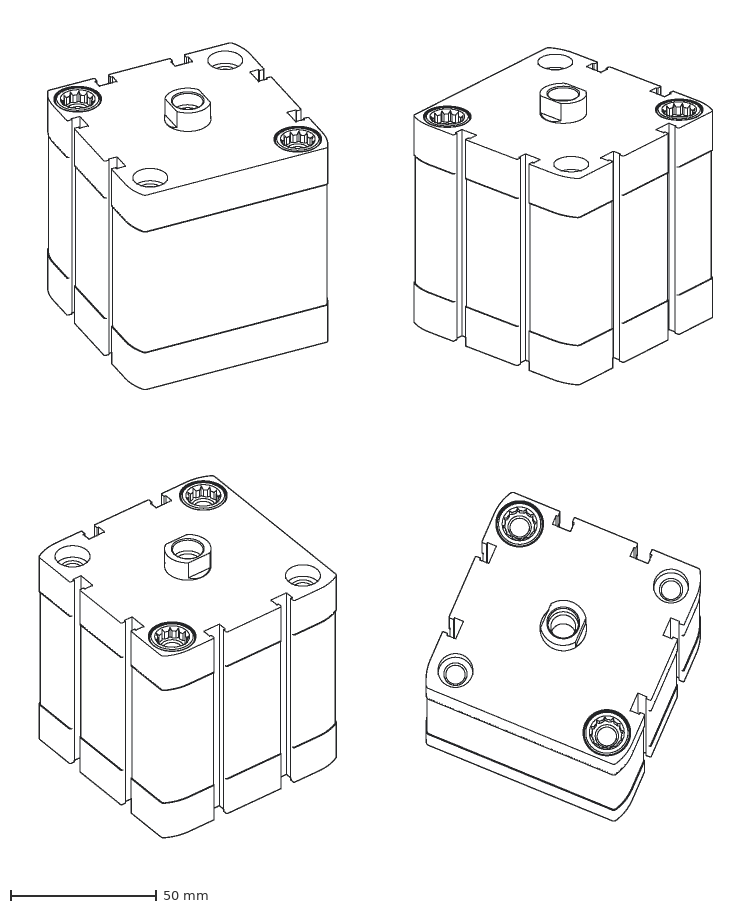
import cadquery as cq
import math


cap_width = 75.5
body_inset = 0.35
housing_height = 79.0
cap_height = 15.0
corner_radius = 18.0
arc_start = 28.25
edge_fillet = 1.3

slot_offset = 14.5
slot_opening = 5.3
slot_width = 6.7
slot_lip = 1.85
slot_depth = 5.2
slot_lip_radius = 0.4

hole_offset = 28.25
through_diameter = 6.65
countersink_diameter = 8.0
counterbore_diameter = 12.0
counterbore_depth = 5.0

head_diameter = 15.5
head_chamfer = 0.5
head_seat_diameter = 16.0
head_seat_chamfer = 0.2
head_gap_depth = 1.0
socket_points = 12
socket_outer_radius = 5.75
socket_inner_radius = 5.1
socket_land_angle = 16.0
socket_depth = 4.5
socket_rim_diameter = 12.0
socket_rim_angle = 60.0

rod_diameter = 16.0
rod_projection = 7.5
rod_insertion = 30.0
flat_size = 13.0
flat_end_height = 1.0
flat_runout_angle = 30.0
rod_bore_diameter = 10.5
rod_bore_depth = 5.0
rod_mouth_diameter = 11.3
rod_thread_diameter = 8.57
rod_thread_depth = 18.0
drill_tip_angle = 118.0


def cylinder(diameter, depth, top):
    """Upright cylinder on the Z axis, from the height `top` downwards."""
    return cq.Workplane("XY").workplane(offset=top - depth).circle(diameter / 2).extrude(depth)


def cone(top_diameter, bottom_diameter, top, depth):
    """Upright cone frustum on the Z axis, from the height `top` downwards."""
    profile = [(0, top), (top_diameter / 2, top), (bottom_diameter / 2, top - depth), (0, top - depth)]
    if bottom_diameter == 0:
        profile.pop()
    return cq.Workplane("XZ").polyline(profile).close().revolve(360, (0, 0, 0), (0, 1, 0))


def countersink(top_diameter, bottom_diameter, top, included_angle=90.0):
    """Conical step between two diameters."""
    depth = (top_diameter - bottom_diameter) / 2 / math.tan(math.radians(included_angle / 2))
    return cone(top_diameter, bottom_diameter, top, depth)


def housing_block(inset, bottom, height):
    """Prism whose -Y and +Y faces run into the flat -X and +X sides through large arcs."""
    half = cap_width / 2 - inset
    center_y = half - corner_radius

    def arc_point(x):
        return x, center_y + math.sqrt(corner_radius ** 2 - (x - arc_start) ** 2)

    corner_x, corner_y = arc_point(half)
    middle_x, middle_y = arc_point((arc_start + half) / 2)
    block = (
        cq.Workplane("XY").workplane(offset=bottom)
        .moveTo(-arc_start, half)
        .lineTo(arc_start, half)
        .threePointArc((middle_x, middle_y), (corner_x, corner_y))
        .lineTo(corner_x, -corner_y)
        .threePointArc((middle_x, -middle_y), (arc_start, -half))
        .lineTo(-arc_start, -half)
        .threePointArc((-middle_x, -middle_y), (-corner_x, -corner_y))
        .lineTo(-corner_x, corner_y)
        .threePointArc((-middle_x, middle_y), (-arc_start, half))
        .close()
        .extrude(height)
    )
    return block.edges("|Z and (>X or <X)").fillet(edge_fillet)


def sensor_slot(inset):
    """T-slot outline, open towards -Y, in a face set back by `inset`, with rounded lips."""
    cap_face = -cap_width / 2
    face = cap_face + inset
    half_opening = slot_opening / 2
    half_mouth = half_opening + slot_lip_radius
    half_width = slot_width / 2
    lip_end = cap_face + slot_lip
    floor = cap_face + slot_depth
    arc_reach = slot_lip_radius * (1 - math.sqrt(0.5))
    arc_x = half_opening + arc_reach
    arc_y = face + arc_reach
    return (
        cq.Workplane("XY")
        .moveTo(half_mouth, face)
        .threePointArc((arc_x, arc_y), (half_opening, face + slot_lip_radius))
        .lineTo(half_opening, lip_end)
        .lineTo(half_width, lip_end)
        .lineTo(half_width, floor)
        .lineTo(-half_width, floor)
        .lineTo(-half_width, lip_end)
        .lineTo(-half_opening, lip_end)
        .lineTo(-half_opening, face + slot_lip_radius)
        .threePointArc((-arc_x, arc_y), (-half_mouth, face))
        .close()
    )


def slotted_block(inset, bottom, height):
    """Housing section with two slots in each of the -Y, -X and +Y faces; +X stays plain."""
    block = housing_block(inset, bottom, height)
    slot = sensor_slot(inset).extrude(height).translate((0, 0, bottom))
    for face_angle in (0, -90, 180):
        for side in (-1, 1):
            placed = slot.translate((side * slot_offset, 0, 0))
            block = block.cut(placed.rotate((0, 0, 0), (0, 0, 1), face_angle))
    return block


def polar(radius, degrees):
    """X and Y of a point at an angle on a circle round the Z axis."""
    angle = math.radians(degrees)
    return radius * math.cos(angle), radius * math.sin(angle)


def through_hole(seat):
    """Hole through the housing with a countersunk mouth at the height `seat`."""
    hole = cylinder(through_diameter, seat, seat)
    return hole.union(countersink(countersink_diameter, through_diameter, seat))


def plain_corner_cut():
    """Counterbored corner hole."""
    seat = housing_height - counterbore_depth
    return cylinder(counterbore_diameter, counterbore_depth, housing_height).union(through_hole(seat))


def screw_corner_cut():
    """Ring gap around a screw head, with its twelve-point socket and the hole below."""
    gap = cylinder(head_seat_diameter, head_gap_depth, housing_height)
    seat_mouth = head_seat_diameter + 2 * head_seat_chamfer
    gap = gap.union(countersink(seat_mouth, head_seat_diameter, housing_height))
    head = cylinder(head_diameter, head_gap_depth, housing_height).faces(">Z").chamfer(head_chamfer)
    gap = gap.cut(head)

    seat = housing_height - socket_depth
    point_angle = 360 / socket_points
    land_start = (point_angle - socket_land_angle) / 2
    points = []
    for index in range(socket_points):
        tip = index * point_angle
        points.append(polar(socket_outer_radius, tip))
        points.append(polar(socket_inner_radius, tip + land_start))
        points.append(polar(socket_inner_radius, tip + point_angle - land_start))
    socket = cq.Workplane("XY").workplane(offset=seat).polyline(points).close().extrude(socket_depth)
    rim = countersink(socket_rim_diameter, 2 * socket_inner_radius, housing_height, socket_rim_angle)
    return gap.union(socket).union(rim).union(through_hole(seat))


def make_housing():
    barrel_height = housing_height - 2 * cap_height
    housing = slotted_block(0, 0, cap_height)
    housing = housing.union(slotted_block(body_inset, cap_height, barrel_height))
    housing = housing.union(slotted_block(0, housing_height - cap_height, cap_height))
    for offset in (-hole_offset, hole_offset):
        housing = housing.cut(screw_corner_cut().translate((offset, offset, 0)))
        housing = housing.cut(plain_corner_cut().translate((offset, -offset, 0)))

    return housing.cut(cylinder(rod_diameter, rod_insertion, housing_height))


def make_piston_rod():
    top = housing_height + rod_projection
    radius = rod_diameter / 2
    rod = cylinder(rod_diameter, rod_projection + rod_insertion, top)

    flat = flat_size / 2
    flat_end = housing_height + flat_end_height
    runout = (radius - flat) * math.tan(math.radians(flat_runout_angle))
    flat_cut = (
        cq.Workplane("YZ")
        .polyline([(flat, top), (flat, flat_end), (radius, flat_end - runout), (radius, top)])
        .close()
        .extrude(radius, both=True)
    )
    rod = rod.cut(flat_cut).cut(flat_cut.mirror("XZ"))

    rod = rod.cut(countersink(rod_mouth_diameter, rod_bore_diameter, top))
    rod = rod.cut(cylinder(rod_bore_diameter, rod_bore_depth, top))
    bore_end = countersink(rod_bore_diameter, rod_thread_diameter, top - rod_bore_depth, drill_tip_angle)
    rod = rod.cut(bore_end)
    rod = rod.cut(cylinder(rod_thread_diameter, rod_thread_depth, top))
    return rod.cut(countersink(rod_thread_diameter, 0, top - rod_thread_depth, drill_tip_angle))


housing = make_housing()
piston_rod = make_piston_rod()

result = cq.Compound.makeCompound([housing.val(), piston_rod.val()])